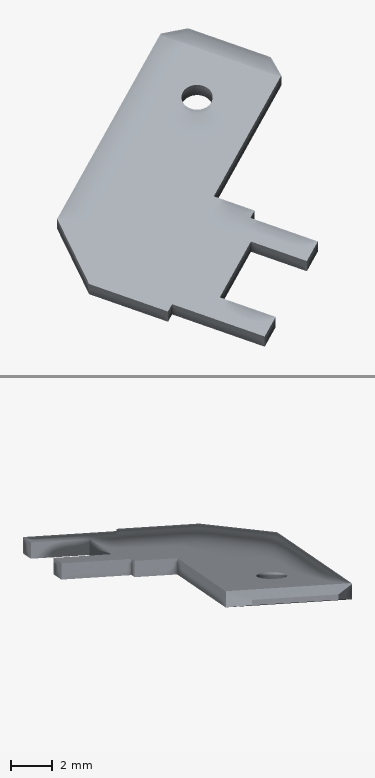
import cadquery as cq

length = 16.3
width = 12.0
thickness = 0.8

blade_width = 6.32
tip_corner = 1.0
bevel_length = 1.1
tip_thickness = 0.26
hole_diameter = 1.5
hole_from_tip = 3.85

heel_corner = 3.0
base_top = 7.29
upper_shoulder_x = 8.46
lower_shoulder_x = 7.14

pin_width = 1.3
lower_pin_y = 0.49
upper_pin_y = 5.5
pin_root_x = 9.06


def make_plate():
    """Flat outline of blade, base and pins."""
    lower_pin_top = lower_pin_y + pin_width
    upper_pin_top = upper_pin_y + pin_width
    outline = [
        (heel_corner, 0),
        (lower_shoulder_x, 0),
        (lower_shoulder_x, lower_pin_y),
        (width, lower_pin_y),
        (width, lower_pin_top),
        (pin_root_x, lower_pin_top),
        (pin_root_x, upper_pin_y),
        (width, upper_pin_y),
        (width, upper_pin_top),
        (upper_shoulder_x, upper_pin_top),
        (upper_shoulder_x, base_top),
        (blade_width, base_top),
        (blade_width, length - tip_corner),
        (blade_width - tip_corner, length),
        (tip_corner, length),
        (0, length - tip_corner),
        (0, heel_corner),
    ]
    return cq.Workplane("XY").polyline(outline).close().extrude(thickness)


def make_side_profile():
    """Side profile in YZ, thinned on both faces at the tip, as wide as the part."""
    bevel_start = length - bevel_length
    bevel_depth = (thickness - tip_thickness) / 2
    profile = [
        (0, 0),
        (bevel_start, 0),
        (length, bevel_depth),
        (length, thickness - bevel_depth),
        (bevel_start, thickness),
        (0, thickness),
    ]
    return cq.Workplane("YZ").polyline(profile).close().extrude(width)


def make_hole():
    """Round detent hole on the blade centreline."""
    hole = cq.Workplane("XY").center(blade_width / 2, length - hole_from_tip)
    return hole.circle(hole_diameter / 2).extrude(thickness)


result = make_plate().intersect(make_side_profile()).cut(make_hole())